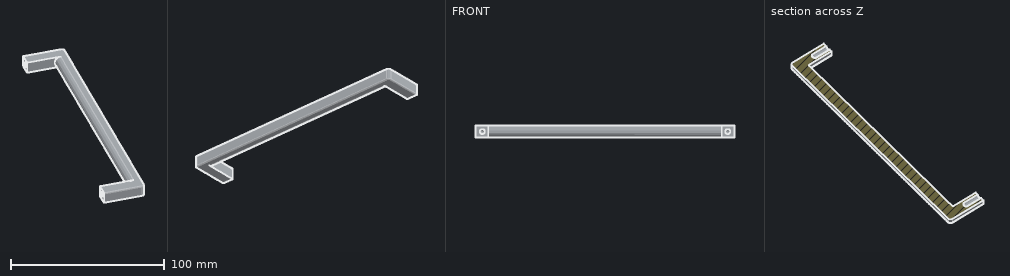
import cadquery as cq
import math

length = 169.0
projection = 28.0
thickness = 8.0

leg_width = 8.5
grip_flat_depth = 5.0
grip_radius = thickness / 2

corner_radius = 2.0
edge_radius = 0.5

hole_spacing = 160.0
hole_diameter = 3.3
hole_depth = 12.0
drill_point_angle = 118.0

back_y = projection / 2
front_y = -projection / 2
round_start_y = back_y - grip_flat_depth
grip_nose_y = round_start_y - grip_radius
grip_length = length - 2 * leg_width
cutter_margin = thickness


def outer_block():
    """Full-size block with rounded back corners and a rounded rim, except on the leg ends."""
    block = cq.Workplane("XY").box(length, projection, thickness)
    block = block.edges("|Z and >Y").fillet(corner_radius)
    return block.faces("|Z").edges("not <Y").fillet(edge_radius)


def leg_opening():
    """Space between the legs, ending in a concave half-round that shapes the grip."""
    cutter_front_y = front_y - cutter_margin
    cutter_half_height = thickness / 2 + cutter_margin
    return (
        cq.Workplane("YZ", origin=(-grip_length / 2, 0, 0))
        .moveTo(round_start_y, grip_radius)
        .threePointArc((grip_nose_y, 0), (round_start_y, -grip_radius))
        .lineTo(round_start_y, -cutter_half_height)
        .lineTo(cutter_front_y, -cutter_half_height)
        .lineTo(cutter_front_y, cutter_half_height)
        .lineTo(round_start_y, cutter_half_height)
        .close()
        .extrude(grip_length)
    )


def mounting_hole(x):
    """Drilled hole with a conical bottom, running along +Y from a leg end."""
    radius = hole_diameter / 2
    point_depth = radius / math.tan(math.radians(drill_point_angle / 2))
    return (
        cq.Workplane("XY", origin=(x, front_y, 0))
        .lineTo(radius, 0)
        .lineTo(radius, hole_depth)
        .lineTo(0, hole_depth + point_depth)
        .close()
        .revolve(360, (0, 0, 0), (0, 1, 0))
    )


result = outer_block().cut(leg_opening())
for hole_x in (-hole_spacing / 2, hole_spacing / 2):
    result = result.cut(mounting_hole(hole_x))